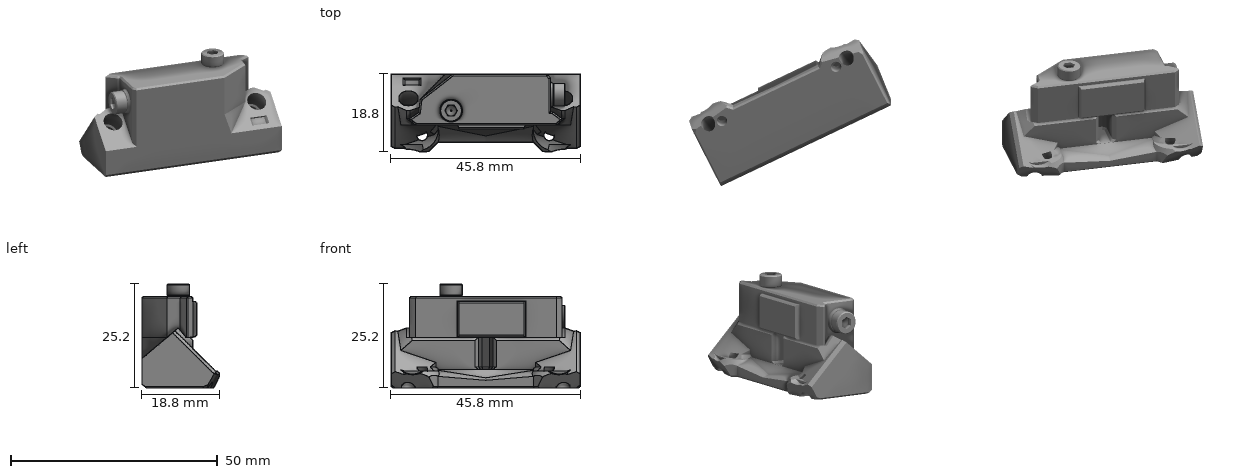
import cadquery as cq
import math

half_length = 22.9
reach = 27.5

deck_z = 12.27
front_y = -12.35
deck_chamfer = 0.75
end_edge_chamfer = 0.4
back_edge_height = 7.15
back_angle = math.radians(40)
back_slope = math.tan(back_angle)
back_foot_y = 1.15
back_foot_z = 0.95

ridge_x = 19.2
ridge_inner_x = 18.3
ridge_y = -8.85
ridge_z = 14.5
ridge_fall = 1.2
ridge_outer_fall = 0.9
ridge_inner_fall = 0.7

foot_edge_x = 21.95
foot_edge_z = 9.55
foot_fall_x = 0.34
foot_fall_y = 0.99
end_chamfer_slope = 1.1
toe_y = -17.1
toe_x = 14.43
toe_lean = 0.57
toe_skew = 0.18
toe_corner = [(-22.9, -15.05, 0.4), (-21.9, -15.8, 0), (-22.9, -16.35, 0.95)]
toe_wall_start = (11.55, -16.55)

boss_x = 16.5
boss_y = -13.5
boss_top = 4.1
boss_top_radius = 5.0
boss_low_radius = 7.6
smile_x = 17.75
smile_radius = 4.25
smile_bottom = 3.4
smile_back_y = -17.1
smile_length = 4.6
smile_taper = 8.0
wedge_corner = (13.35, -13.9, 5.1)
wedge_wall_angle = 50.0
wedge_fall = 0.84

middle_half = 12.1
middle_front_y = -16.55
ramp_top_z = 4.55
ramp_slope = 0.79
dish_y = -14.98
dish_z = 2.47
dish_slope_y = 0.38
dish_slope_x = 0.083

slot_half = 1.75
slot_depth = 7.35
slot_corner = 0.82
slot_floor = 4.6
slot_floor_chamfer = 0.55
bore_x = 18.7
bore_y = -5.85
bore_diameter = 3.5
counterbore_diameter = 4.7
counterbore_depth = 5.3
post_hole_x = 15.4
post_hole_y = -14.8
post_hole_diameter = 2.55
post_hole_top = 5.15
label_x = -17.8
label_y = -1.85
label_length = 4.4
label_width = 2.15
label_depth = 0.6
label_end_run = 0.5

block_top = 22.2
block_chamfer = 0.4
block_waist = (-15.85, -6.1)
block_back_left = (-8.0, 0)
block_back_right = (14.9, 0)
block_side_back = (15.65, -0.95)
block_right_x = block_side_back[0]
block_outline = [
    (-16.95, front_y), (-18.5, -11.2), (-18.5, -10.85), (-16.2, -9.3), block_waist, block_back_left,
    block_back_right, block_side_back, (block_right_x, -9.1), (16.2, -9.1),
    (18.5, -10.85), (18.5, -11.2), (17.18, front_y),
]
pedestal_flare = 1.8

plate_left, plate_right = -6.8, 9.55
plate_bottom, plate_top = 12.4, 20.98
plate_proud = 0.95
plate_chamfer = 0.4
plate_draft = 0.35
seat_depth = 0.45
seat_gap = 0.25

head_diameter = 5.5
head_height = 2.8
head_top_chamfer = 0.25
head_low_chamfer = 0.1
washer_diameter = 5.0
washer_height = 0.2
shank_diameter = 3.0
shank_length = 6.85
socket_corners = 3.0
socket_depth = 1.37
socket_cone_depth = 0.45
socket_tip_radius = 0.2
top_screw = (-8.4, -8.85)
side_screw_y = -5.0
side_screw_z = 17.25
collar_height = 0.6
collar_diameter = 6.2


def box(x0, x1, y0, y1, z0, z1):
    """Box between two opposite corners."""
    return cq.Workplane("XY").box(x1 - x0, y1 - y0, z1 - z0, centered=False).translate((x0, y0, z0))


def half_space(point, normal):
    """Large block on the side of a plane that its normal points away from."""
    plane = cq.Plane(origin=point, normal=normal)
    return cq.Workplane(plane).rect(6 * reach, 6 * reach).extrude(-4 * reach)


def below(point, slope_x, slope_y):
    """Everything under the plane through a point that climbs by the two slopes along X and Y."""
    return half_space(point, (-slope_x, -slope_y, 1))


def through_points(a, b, c):
    """Half-space bounded by three points, clockwise as seen from its solid side."""
    a, b, c = cq.Vector(*a), cq.Vector(*b), cq.Vector(*c)
    return half_space(a.toTuple(), (b - a).cross(c - a).toTuple())


def both_sides(shape):
    """The left-hand shape together with its mirror image."""
    return shape.union(shape.mirror("YZ"))


roof = below((0, 0, back_edge_height), 0, -back_slope)
outer_ridge_face = below((-ridge_x, ridge_y, ridge_z), ridge_outer_fall, ridge_fall)
roof_normal = (0, math.sin(back_angle), math.cos(back_angle))


def roof_point(x, y):
    """Point of the back roof plane above a place in plan."""
    return (x, y, back_edge_height - back_slope * y)


def pedestal():
    """Middle of the base under the block, with a flared back left wall."""
    body = box(-half_length, block_right_x, front_y, 0, 0, deck_z)
    body = body.union(box(0, half_length, front_y, ridge_y, 0, deck_z))
    body = body.intersect(outer_ridge_face).intersect(outer_ridge_face.mirror("YZ"))
    body = body.cut(half_space((0, front_y + deck_chamfer, deck_z), (0, 1, -1)))
    flare = through_points(
        (*block_back_left, deck_z),
        (block_back_left[0] - pedestal_flare, 0, back_edge_height),
        (*block_waist, deck_z),
    )
    front_part = box(-half_length, half_length, front_y, ridge_y, 0, deck_z)
    right_corner = through_points(
        (*block_back_right, 0), (*block_side_back, 0), (*block_back_right, -reach)
    )
    return body.intersect(flare.union(front_part).union(roof)).intersect(right_corner)


def hip():
    """Ridge on the left that rises beside the end of the block."""
    body = box(-half_length, -middle_half, front_y, 0, 0, reach)
    body = body.intersect(roof).intersect(outer_ridge_face)
    body = body.intersect(below((-ridge_x, ridge_y, ridge_z), 0, ridge_fall))
    return body.intersect(below((-ridge_inner_x, ridge_y, ridge_z), -ridge_inner_fall, ridge_fall))


def foot():
    """Sloped left foot with its round boss and notched inner corner."""
    toe = half_space((-toe_x, toe_y, 0), (-toe_skew, -1, -toe_lean))
    toe = toe.intersect(half_space((-toe_wall_start[0], toe_wall_start[1], 0), (1, -1, 0)))
    toe = toe.intersect(
        half_space((-toe_wall_start[0], toe_wall_start[1], end_edge_chamfer), (1, -1, -math.sqrt(2)))
    )
    slope = box(-half_length, -toe_wall_start[0], -reach, 0, 0, reach).intersect(roof)
    slope = slope.intersect(below((-foot_edge_x, front_y, foot_edge_z), -foot_fall_x, foot_fall_y))
    slope = slope.intersect(below((-foot_edge_x, front_y, foot_edge_z), end_chamfer_slope, foot_fall_y))

    turn = math.radians(wedge_wall_angle)
    away = (math.sin(turn), -math.cos(turn))
    corner = (-wedge_corner[0], wedge_corner[1], wedge_corner[2])
    wedge_floor = below(corner, -wedge_fall * away[0], -wedge_fall * away[1])
    wedge_wall = half_space(corner, (away[0], away[1], 0))
    slope = slope.intersect(wedge_floor.union(wedge_wall))

    cone = cq.Solid.makeCone(boss_low_radius, boss_top_radius, boss_top, cq.Vector(-boss_x, boss_y, 0))
    boss = cq.Workplane(cone).intersect(box(-half_length, 0, -reach, front_y, 0, boss_top))
    smile = cq.Workplane("XZ", origin=(-smile_x, smile_back_y, smile_bottom + smile_radius))
    smile = smile.circle(smile_radius).extrude(smile_length, taper=-smile_taper)
    return slope.union(boss).intersect(toe).cut(smile).intersect(through_points(*toe_corner))


def middle():
    """Dished floor between the feet: a steep ramp running into two shallow facets."""
    ramp = below((0, front_y, ramp_top_z), 0, ramp_slope)
    left_facet = below((0, dish_y, dish_z), -dish_slope_x, dish_slope_y)
    profile = ramp.union(both_sides(left_facet))
    body = box(-middle_half, middle_half, middle_front_y, front_y, 0, reach).intersect(profile)
    return body.cut(half_space((0, middle_front_y + end_edge_chamfer, 0), (0, 1, 1)))


def slot_cutter():
    """Upright slot in the pedestal front with chamfered mouth, back corners and floor."""
    back_y = front_y + slot_depth
    mouth_half = slot_half + slot_corner
    left = [
        (-mouth_half, front_y - 2 * slot_floor_chamfer), (-mouth_half, front_y),
        (-slot_half, front_y + slot_corner),
        (-slot_half, back_y - slot_corner), (-slot_half + slot_corner, back_y),
    ]
    right = [(-x, y) for x, y in reversed(left)]
    cutter = cq.Workplane("XY", origin=(0, 0, slot_floor)).polyline(left + right).close()
    return cutter.extrude(deck_z - slot_floor).faces("<Z").chamfer(slot_floor_chamfer)


def hole_cutters():
    """Left slanted bore, square to the roof plane, and left upright post hole."""
    mouth = cq.Workplane(cq.Plane(origin=roof_point(-bore_x, bore_y), normal=roof_normal))
    bore = mouth.circle(bore_diameter / 2).extrude(-reach)
    counterbore = mouth.workplane(offset=-counterbore_depth).circle(counterbore_diameter / 2).extrude(reach)
    post = cq.Workplane("XY").center(-post_hole_x, post_hole_y)
    return bore.union(counterbore).union(post.circle(post_hole_diameter / 2).extrude(post_hole_top))


def label_recess():
    """Shallow recess with sloped ends in the left part of the roof plane."""
    centre = roof_point(label_x, label_y)
    down_roof = cq.Vector(1, 0, 0).cross(cq.Vector(*roof_normal)).toTuple()
    mouth_half = label_length / 2
    floor_half = mouth_half - label_end_run
    section = cq.Workplane(cq.Plane(origin=centre, xDir=(1, 0, 0), normal=down_roof))
    section = section.polyline([
        (-mouth_half, 0), (mouth_half, 0), (floor_half, -label_depth), (-floor_half, -label_depth),
    ])
    return section.close().extrude(label_width / 2, both=True)


def make_base():
    """Base with its two feet, cut out to seat the block."""
    body = pedestal().union(both_sides(hip().union(foot()))).union(middle())
    body = body.cut(half_space((0, -back_foot_y, 0), (0, -back_foot_z, back_foot_y)))
    end_edge = half_space((-half_length + end_edge_chamfer, 0, 0), (1, 0, 1))
    body = body.cut(both_sides(end_edge.intersect(box(-reach, 0, -reach, 0, 0, reach))))
    body = body.cut(slot_cutter()).cut(both_sides(hole_cutters())).cut(label_recess())
    seat = cq.Workplane("XY", origin=(0, 0, deck_z)).polyline(block_outline).close()
    return body.cut(seat.extrude(reach))


def make_screw():
    """Socket cap screw standing on z = 0 with its shank below."""
    screw = cq.Workplane("XY").circle(washer_diameter / 2).extrude(washer_height)
    head = cq.Workplane("XY", origin=(0, 0, washer_height)).circle(head_diameter / 2).extrude(head_height)
    head = head.faces(">Z").chamfer(head_top_chamfer).faces("<Z").chamfer(head_low_chamfer)
    screw = screw.union(head)
    screw = screw.union(cq.Workplane("XY").circle(shank_diameter / 2).extrude(-shank_length))
    top = washer_height + head_height
    socket = cq.Workplane("XY", origin=(0, 0, top)).polygon(6, socket_corners).extrude(-socket_depth)
    cone_radius = socket_corners / 2 * math.cos(math.pi / 6)
    point = cq.Solid.makeCone(
        cone_radius, socket_tip_radius, socket_cone_depth,
        cq.Vector(0, 0, top - socket_depth), cq.Vector(0, 0, -1),
    )
    return screw.cut(socket).cut(cq.Workplane(point))


def make_plate():
    """Front plate with drafted ends and chamfered long edges."""
    seat_y = front_y + seat_depth
    tip_y = front_y - plate_proud
    body = cq.Workplane("XY", origin=(0, 0, plate_bottom)).polyline([
        (plate_left, seat_y), (plate_left, front_y), (plate_left + plate_draft, tip_y),
        (plate_right - plate_draft, tip_y), (plate_right, front_y), (plate_right, seat_y),
    ])
    return body.close().extrude(plate_top - plate_bottom).faces("<Y").edges("|X").chamfer(plate_chamfer)


def make_block(screws):
    """Upper block with the plate seat, the side collar and the screw holes."""
    shoulder_z = block_top - block_chamfer
    body = cq.Workplane("XY", origin=(0, 0, deck_z)).polyline(block_outline).close()
    body = body.extrude(shoulder_z - deck_z)
    rim = cq.Workplane("XY", origin=(0, 0, shoulder_z)).polyline(block_outline).close()
    body = body.union(rim.extrude(block_chamfer, taper=45))
    collar = cq.Solid.makeCone(
        collar_diameter / 2, head_diameter / 2, collar_height,
        cq.Vector(block_right_x, side_screw_y, side_screw_z), cq.Vector(1, 0, 0),
    )
    body = body.union(cq.Workplane(collar))
    body = body.cut(box(
        plate_left - seat_gap, plate_right + seat_gap, front_y, front_y + seat_depth,
        deck_z, plate_top + seat_gap / 2,
    ))
    for screw in screws:
        body = body.cut(screw)
    return body


upright_screw = make_screw().translate((*top_screw, block_top))
side_screw = make_screw().rotate((0, 0, 0), (0, 1, 0), 90)
side_screw = side_screw.translate((block_right_x + collar_height, side_screw_y, side_screw_z))
cap_screws = [upright_screw, side_screw]
plate = make_plate()
block = make_block(cap_screws)
base = make_base()

result = cq.Compound.makeCompound(
    [base.val(), block.val(), plate.val(), *[screw.val() for screw in cap_screws]]
)